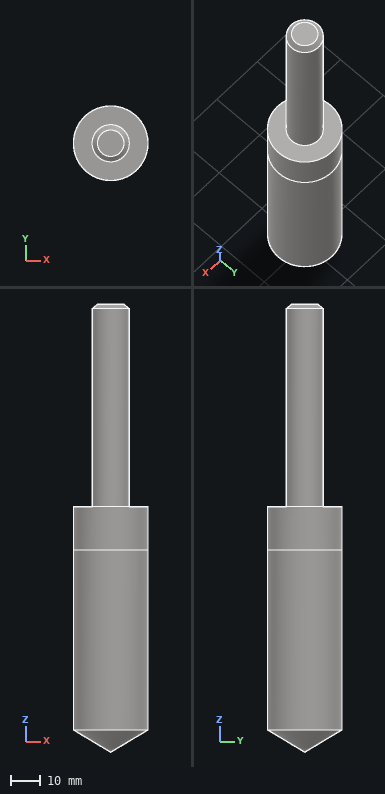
import cadquery as cq

TOTAL_LENGTH = 152.4
BODY_DIAMETER = 25.5
STEM_DIAMETER = 12.6
TIP_HEIGHT = 7.6
BARREL_LENGTH = 61.1
COLLAR_LENGTH = 14.8
CHAMFER_HEIGHT = 1.5
CHAMFER_WIDTH = 1.8

BODY_RADIUS = BODY_DIAMETER / 2
STEM_RADIUS = STEM_DIAMETER / 2
COLLAR_BOTTOM = TIP_HEIGHT + BARREL_LENGTH
COLLAR_TOP = COLLAR_BOTTOM + COLLAR_LENGTH


def make_pointed_barrel():
    """Solid cylinder with a conical point, revolved about Z."""
    return (
        cq.Workplane("XZ")
        .moveTo(0, 0)
        .lineTo(BODY_RADIUS, TIP_HEIGHT)
        .lineTo(BODY_RADIUS, COLLAR_BOTTOM)
        .lineTo(0, COLLAR_BOTTOM)
        .close()
        .revolve(360, (0, 0, 0), (0, 1, 0))
    )


def make_shank():
    """Collar resting on the barrel and its chamfered stem, revolved as one profile about Z."""
    return (
        cq.Workplane("XZ")
        .moveTo(0, COLLAR_BOTTOM)
        .lineTo(BODY_RADIUS, COLLAR_BOTTOM)
        .lineTo(BODY_RADIUS, COLLAR_TOP)
        .lineTo(STEM_RADIUS, COLLAR_TOP)
        .lineTo(STEM_RADIUS, TOTAL_LENGTH - CHAMFER_HEIGHT)
        .lineTo(STEM_RADIUS - CHAMFER_WIDTH, TOTAL_LENGTH)
        .lineTo(0, TOTAL_LENGTH)
        .close()
        .revolve(360, (0, 0, 0), (0, 1, 0))
    )


pointed_barrel = make_pointed_barrel()
shank = make_shank()

result = cq.Compound.makeCompound([pointed_barrel.val(), shank.val()])